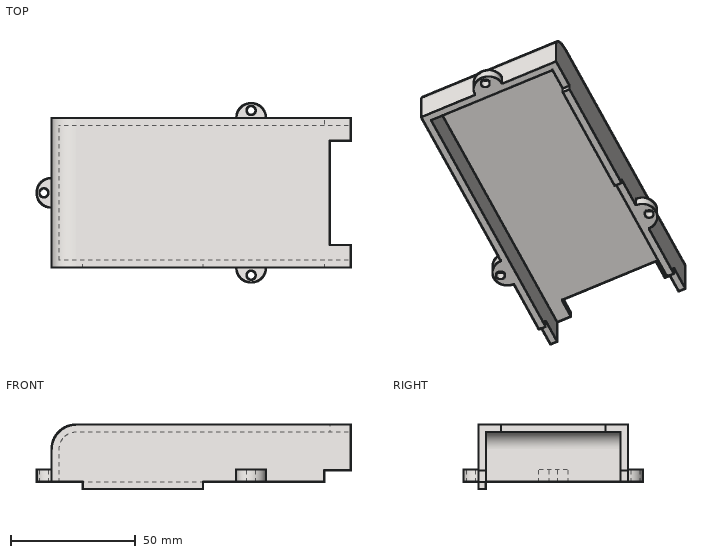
import cadquery as cq

overall_length = 126.0
overall_width = 72.0
overall_height = 26.0

body_width = 60.0
body_height = 23.0
wall = 3.0
nose_radius = 10.0

lug_radius = (overall_width - body_width) / 2
lug_height = 5.0
lug_hole_diameter = 3.5
lug_hole_offset = 3.0
side_lug_x = 80.0

lip_start = 12.5
lip_length = 48.3
lip_height = overall_height - body_height

notch_depth = 8.5
notch_width = 41.7
step_length = 10.7
step_height = 4.7

body_length = overall_length - lug_radius
half_width = body_width / 2


def block(x, y, z, length, width, height):
    """Box with its lowest corner at (x, y, z)."""
    return cq.Workplane("XY").box(length, width, height, centered=False).translate((x, y, z))


def make_shell():
    outer = block(0, -half_width, 0, body_length, body_width, body_height)
    outer = outer.edges("<X and >Z").fillet(nose_radius)
    cavity = block(wall, wall - half_width, 0, body_length, body_width - 2 * wall, body_height - wall)
    cavity = cavity.edges("<X and >Z").fillet(nose_radius - wall)
    return outer.cut(cavity)


def make_lug(x, y, outward_x, outward_y):
    """Rounded lug on the wall at (x, y), without the half that lies inside the cover."""
    disc = cq.Workplane("XY").center(x, y).circle(lug_radius).extrude(lug_height)
    hole = (
        cq.Workplane("XY")
        .center(x + outward_x * lug_hole_offset, y + outward_y * lug_hole_offset)
        .circle(lug_hole_diameter / 2)
        .extrude(lug_height)
    )
    inside = block(0, -half_width, 0, body_length, body_width, body_height)
    return disc.cut(inside).cut(hole)


result = make_shell()

result = result.cut(block(body_length - notch_depth, -notch_width / 2, 0, notch_depth, notch_width, body_height))
result = result.cut(block(body_length - step_length, -half_width, 0, step_length, body_width, step_height))

result = result.union(block(lip_start, -half_width, -lip_height, lip_length, wall, lip_height))

for lug in (
    make_lug(0, 0, -1, 0),
    make_lug(side_lug_x, half_width, 0, 1),
    make_lug(side_lug_x, -half_width, 0, -1),
):
    result = result.union(lug)